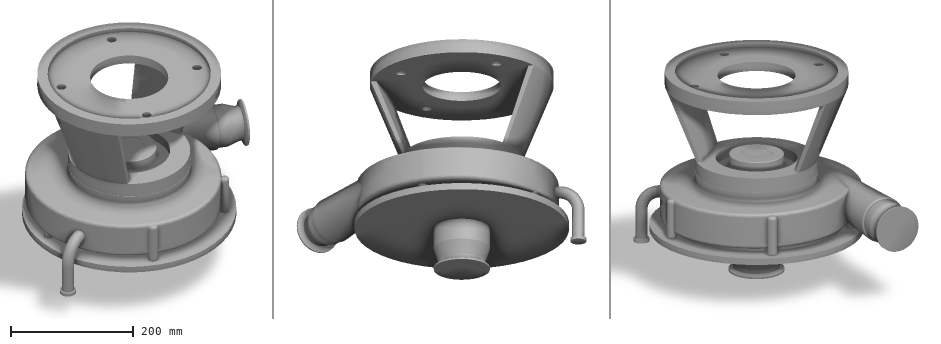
import cadquery as cq
import math


plate_radius = 175.0
plate_thickness = 11.0
post_count = 5
post_radius = 8.0
post_circle_radius = 155.5
post_first_angle = -45
post_top = 77.0
post_rounding = 5.0
cover_radius = 144.5
cover_foot_radius = 139.5
cover_bottom = 13.5

casing_mid = 49.0
crown_radius = 105.5
crown_half_height = 33.5
rim_radius = 169.5
rim_half_height = 28.0
casing_rounding = 5.5
spiral_start = (96, 153.5)
spiral_arcs = [
    ((60, 150.0), (20, 151.5)),
    ((-10, 154.5), (-50, 156.5)),
    ((-120, 164.5), (-186, 175.0)),
    ((-220, 175.5), (-250, 172.5)),
]

neck_radius = 100.0
neck_top = 99.0
ring_radius = 99.5
ring_top = 123.0
ring_bore_radius = 67.0
ring_floor = 106.0
hub_radius = 45.0
hub_top = 131.0
hub_edge_rounding = 1.5
hub_base_rounding = 10.0
shaft_flat_width = 49.0
shaft_corner_radius = 16.0
shaft_recess = 0.5
shaft_angle = 45

flange_radius = 150.0
flange_top = 274.0
flange_bottom = 251.0
flange_bore_radius = 64.0
recess_radius = 133.0
recess_depth = 7.5
bolt_radius = 8.0
bolt_offset = 81.0

leg_half_width_low = 48.0
leg_half_width_high = 60.0
leg_edge_low = 81.5
leg_edge_high = 128.5
leg_inner_bulge = 3.0

inlet_radius = 46.0
inlet_neck_radius = 38.5
inlet_taper_start = 35.0
inlet_taper_end = 57.5
inlet_length = 71.0

outlet_angle = 45
outlet_offset = 140.0
outlet_start = -25.0
outlet_start_radius = 29.5
outlet_shoulder = 179.5
outlet_end_radius = 38.5
outlet_shoulder_rounding = 3.0
spout_radius = 35.5
spout_neck_radius = 29.0
spout_taper_start = 197.5
spout_taper_end = 217.0
spout_length = 230.0
spout_overlap = 5.0
spout_rim_radius = 38.5

rim_thickness = 3.0
rim_flare = 3.5

drain_radius = 10.0
drain_height = 47.5
drain_bend_radius = 35.0
drain_reach = 197.0
drain_end = -42.5
drain_rim_radius = 13.0
drain_rim_thickness = 6.0


def disc(radius, bottom, top):
    return cq.Workplane("XY").workplane(offset=bottom).circle(radius).extrude(top - bottom)


def turned(points):
    """Solid of revolution about Z from (radius, height) points."""
    return cq.Workplane("XZ").polyline(points).close().revolve(360, (0, 0), (0, 1))


def polar(angle, radius):
    return (radius * math.cos(math.radians(angle)), radius * math.sin(math.radians(angle)))


def casing():
    outline = cq.Workplane("XY").moveTo(*polar(*spiral_start))
    for middle, end in spiral_arcs:
        outline = outline.threePointArc(polar(*middle), polar(*end))
    spiral = outline.close().extrude(2 * casing_mid)

    slope = (crown_half_height - rim_half_height) / (rim_radius - crown_radius)
    reach = rim_radius + crown_radius
    centre_half = crown_half_height + slope * crown_radius
    reach_half = centre_half - slope * reach
    double_cone = turned([
        (0, casing_mid - centre_half),
        (reach, casing_mid - reach_half),
        (reach, casing_mid + reach_half),
        (0, casing_mid + centre_half),
    ])
    body = spiral.intersect(double_cone)
    return body.faces(">Z or <Z").edges().fillet(casing_rounding)


def posts():
    post = disc(post_radius, 0, post_top).faces(">Z").edges().fillet(post_rounding)
    all_posts = cq.Workplane("XY")
    for index in range(post_count):
        angle = post_first_angle + index * 360 / post_count
        all_posts = all_posts.union(post.translate(polar(angle, post_circle_radius) + (0,)))
    return all_posts


def neck_ring():
    """Ring on a neck that flares into the casing, with a bored seat for the hub."""
    crown = casing_mid + crown_half_height
    flare = crown_radius - neck_radius
    return (
        cq.Workplane("XZ")
        .moveTo(0, casing_mid)
        .lineTo(crown_radius, casing_mid)
        .lineTo(crown_radius, crown)
        .radiusArc((neck_radius, crown + flare), flare)
        .lineTo(neck_radius, neck_top)
        .lineTo(ring_radius, neck_top)
        .lineTo(ring_radius, ring_top)
        .lineTo(ring_bore_radius, ring_top)
        .lineTo(ring_bore_radius, ring_floor)
        .lineTo(0, ring_floor)
        .close()
        .revolve(360, (0, 0), (0, 1))
    )


def hub():
    base_radius = hub_radius + hub_base_rounding
    body = (
        cq.Workplane("XZ")
        .moveTo(0, casing_mid)
        .lineTo(base_radius, casing_mid)
        .lineTo(base_radius, ring_floor)
        .radiusArc((hub_radius, ring_floor + hub_base_rounding), hub_base_rounding)
        .lineTo(hub_radius, hub_top)
        .lineTo(0, hub_top)
        .close()
        .revolve(360, (0, 0), (0, 1))
        .faces(">Z").edges().fillet(hub_edge_rounding)
    )
    shaft_end = (
        cq.Workplane("XY")
        .workplane(offset=hub_top - shaft_recess)
        .rect(shaft_flat_width, shaft_flat_width)
        .extrude(shaft_recess)
        .edges("|Z").fillet(shaft_corner_radius)
        .rotate((0, 0, 0), (0, 0, 1), shaft_angle)
    )
    return body.cut(shaft_end)


def motor_flange():
    flange = disc(flange_radius, flange_bottom, flange_top)
    flange = flange.cut(disc(recess_radius, flange_top - recess_depth, flange_top))
    flange = flange.cut(disc(flange_bore_radius, flange_bottom, flange_top))
    bolt_hole = disc(bolt_radius, flange_bottom, flange_top)
    for x in (-bolt_offset, bolt_offset):
        for y in (-bolt_offset, bolt_offset):
            flange = flange.cut(bolt_hole.translate((x, y, 0)))
    return flange


def leg_section(height, half_width, outer_radius, inner_edge):
    """Leg cross-section: outer face on a circle about the axis, inner face slightly bulged."""
    outer_edge = math.sqrt(outer_radius**2 - half_width**2)
    wire = (
        cq.Workplane("XY")
        .workplane(offset=height)
        .moveTo(-half_width, inner_edge)
        .lineTo(-half_width, outer_edge)
        .threePointArc((0, outer_radius), (half_width, outer_edge))
        .lineTo(half_width, inner_edge)
        .threePointArc((0, inner_edge - leg_inner_bulge), (-half_width, inner_edge))
        .close()
    )
    return wire.val()


def legs():
    low = leg_section(ring_top, leg_half_width_low, ring_radius, leg_edge_low)
    high = leg_section(flange_bottom, leg_half_width_high, flange_radius, leg_edge_high)
    leg = cq.Workplane(cq.Solid.makeLoft([low, high], True))
    return leg.union(leg.mirror("XZ"))


def reducer_end(start, radius, taper_start, taper_end, end_radius, end, clamp_radius):
    """Pipe along +Z that tapers to a neck and ends in a clamp rim with a conical back."""
    rim_back = end - rim_thickness
    return turned([
        (0, start),
        (radius, start),
        (radius, taper_start),
        (end_radius, taper_end),
        (end_radius, rim_back - rim_flare),
        (clamp_radius, rim_back),
        (clamp_radius, end),
        (0, end),
    ])


def inlet():
    pipe = reducer_end(
        -casing_mid, inlet_radius, inlet_taper_start, inlet_taper_end,
        inlet_neck_radius, inlet_length, inlet_radius,
    )
    return pipe.rotate((0, 0, 0), (1, 0, 0), 180)


def outlet():
    shell = turned([
        (0, outlet_start),
        (outlet_start_radius, outlet_start),
        (outlet_end_radius, outlet_shoulder),
        (0, outlet_shoulder),
    ]).faces(">Z").edges().fillet(outlet_shoulder_rounding)
    spout = reducer_end(
        outlet_shoulder - spout_overlap, spout_radius, spout_taper_start, spout_taper_end,
        spout_neck_radius, spout_length, spout_rim_radius,
    )
    return (
        shell.union(spout)
        .rotate((0, 0, 0), (0, 1, 0), 90)
        .translate((0, outlet_offset, casing_mid))
        .rotate((0, 0, 0), (0, 0, 1), outlet_angle)
    )


def drain():
    bend_start = drain_reach - drain_bend_radius
    bend_bottom = drain_height - drain_bend_radius
    on_arc = drain_bend_radius * math.sqrt(0.5)
    path = (
        cq.Workplane("YZ")
        .moveTo(-crown_radius, drain_height)
        .lineTo(-bend_start, drain_height)
        .threePointArc((-bend_start - on_arc, bend_bottom + on_arc), (-drain_reach, bend_bottom))
        .lineTo(-drain_reach, drain_end)
    )
    start = cq.Workplane("XZ", origin=(0, -crown_radius, drain_height))
    pipe = start.circle(drain_radius).sweep(path)
    rim = disc(drain_rim_radius, drain_end, drain_end + drain_rim_thickness)
    return pipe.union(rim.translate((0, -drain_reach, 0)))


result = disc(plate_radius, 0, plate_thickness)
result = result.union(disc(cover_foot_radius, 0, casing_mid))
result = result.union(disc(cover_radius, cover_bottom, casing_mid))
for feature in (casing, posts, neck_ring, hub, legs, motor_flange, inlet, outlet, drain):
    result = result.union(feature())